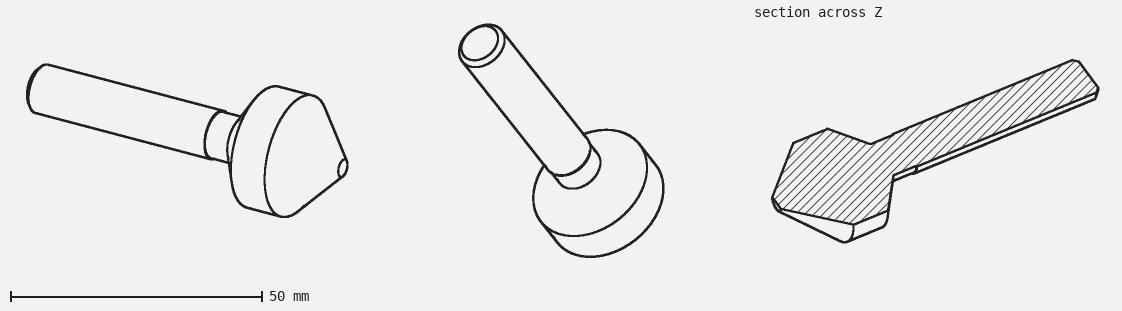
import cadquery as cq

total_length = 71.0
head_diameter = 25.0
shank_diameter = 10.0
neck_diameter = 9.6
tip_diameter = 3.6

shank_chamfer = 1.0
shank_length = 41.8
neck_length = 5.2
back_cone_length = 5.5

head_radius = head_diameter / 2
shank_radius = shank_diameter / 2
neck_radius = neck_diameter / 2
tip_radius = tip_diameter / 2

tip_cone_length = head_radius - tip_radius

neck_end = shank_length + neck_length
head_start = neck_end + back_cone_length
head_end = total_length - tip_cone_length

profile = (
    cq.Workplane("XY")
    .moveTo(0, 0)
    .lineTo(0, shank_radius - shank_chamfer)
    .lineTo(shank_chamfer, shank_radius)
    .lineTo(shank_length, shank_radius)
    .lineTo(shank_length, neck_radius)
    .lineTo(neck_end, neck_radius)
    .lineTo(head_start, head_radius)
    .lineTo(head_end, head_radius)
    .lineTo(total_length, tip_radius)
    .lineTo(total_length, 0)
    .close()
)

result = profile.revolve(360, (0, 0, 0), (1, 0, 0))